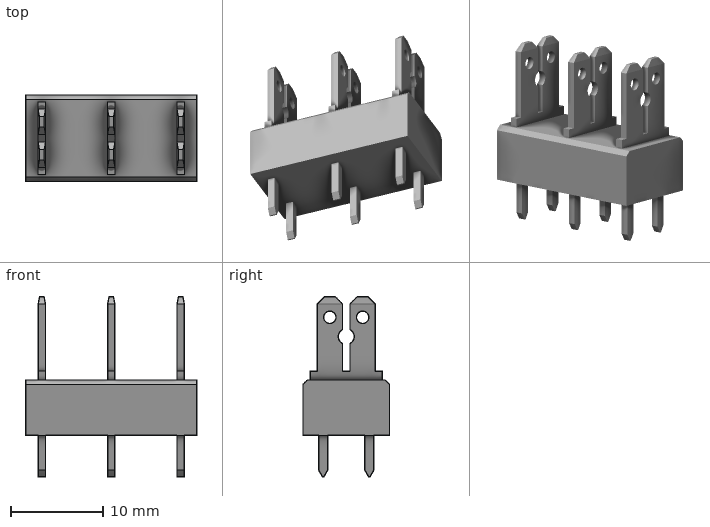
import cadquery as cq

TOTAL_HEIGHT = 19.5

HOUSING_LENGTH = 18.5
HOUSING_WIDTH = 9.4
HOUSING_HEIGHT = 6.0
HOUSING_CHAMFER = 0.5

POLE_COUNT = 3
TABS_PER_POLE = 2
PINS_PER_POLE = 2
POLE_PITCH = 7.5
METAL_THICKNESS = 0.8

TERMINAL_HEIGHT = 9.0
FOOT_WIDTH = 7.8
FOOT_HEIGHT = 0.95
TAB_WIDTH = 2.75
TAB_GAP = 0.8
TAB_PITCH = TAB_WIDTH + TAB_GAP
TAB_TIP_HEIGHT = 0.8
TAB_TIP_WIDTH = TAB_WIDTH - 2 * TAB_TIP_HEIGHT
TAB_TIP_THICKNESS = 0.5
TAB_HOLE_DIAMETER = 1.3
TAB_HOLE_DROP = 2.25
GAP_HOLE_DIAMETER = 1.7
GAP_HOLE_DROP = 4.33

PIN_LENGTH = TOTAL_HEIGHT - HOUSING_HEIGHT - TERMINAL_HEIGHT
PIN_WIDTH = 1.0
PIN_PITCH = 5.0
PIN_TIP_HEIGHT = 0.75
PIN_TIP_WIDTH = 0.15


def centred_positions(count, pitch):
    """Evenly spaced positions, symmetric about zero."""
    return [(index - (count - 1) / 2) * pitch for index in range(count)]


def block(thickness, width, bottom, top):
    """Box centred on X and Y between two heights."""
    return cq.Workplane("XY").workplane(offset=bottom).rect(thickness, width).extrude(top - bottom)


def cross_hole(diameter, y, z):
    """Cylinder along X that cuts right through the metal thickness."""
    return (
        cq.Workplane("YZ")
        .center(y, z)
        .circle(diameter / 2)
        .extrude(METAL_THICKNESS, both=True)
    )


def make_housing():
    """Plain block with its two long top edges chamfered."""
    housing = block(HOUSING_LENGTH, HOUSING_WIDTH, 0, HOUSING_HEIGHT)
    return housing.faces(">Z").edges("|X").chamfer(HOUSING_CHAMFER)


def make_tab():
    """Blade tab rising from the foot, tapered on all four sides at its tip."""
    shoulder = TERMINAL_HEIGHT - TAB_TIP_HEIGHT
    blade = block(METAL_THICKNESS, TAB_WIDTH, FOOT_HEIGHT, shoulder)
    tip = (
        cq.Workplane("XY")
        .workplane(offset=shoulder)
        .rect(METAL_THICKNESS, TAB_WIDTH)
        .workplane(offset=TAB_TIP_HEIGHT)
        .rect(TAB_TIP_THICKNESS, TAB_TIP_WIDTH)
        .loft(ruled=True)
    )
    hole = cross_hole(TAB_HOLE_DIAMETER, 0, TERMINAL_HEIGHT - TAB_HOLE_DROP)
    return blade.union(tip).cut(hole)


def make_terminal(x):
    """Foot with two tabs, standing on the housing top."""
    terminal = block(METAL_THICKNESS, FOOT_WIDTH, 0, FOOT_HEIGHT)
    for y in centred_positions(TABS_PER_POLE, TAB_PITCH):
        terminal = terminal.union(make_tab().translate((0, y, 0)))
    gap_hole = cross_hole(GAP_HOLE_DIAMETER, 0, TERMINAL_HEIGHT - GAP_HOLE_DROP)
    return terminal.cut(gap_hole).translate((x, 0, HOUSING_HEIGHT))


def make_pin(x, y):
    """Flat pin hanging from the housing underside, narrowed to a blunt point."""
    half_width = PIN_WIDTH / 2
    half_tip = PIN_TIP_WIDTH / 2
    tip_start = PIN_TIP_HEIGHT - PIN_LENGTH
    pin = (
        cq.Workplane("YZ")
        .moveTo(-half_width, 0)
        .lineTo(-half_width, tip_start)
        .lineTo(-half_tip, -PIN_LENGTH)
        .lineTo(half_tip, -PIN_LENGTH)
        .lineTo(half_width, tip_start)
        .lineTo(half_width, 0)
        .close()
        .extrude(METAL_THICKNESS / 2, both=True)
    )
    return pin.translate((x, y, 0))


housing = make_housing()
terminals = []
pins = []
for pole_x in centred_positions(POLE_COUNT, POLE_PITCH):
    terminals.append(make_terminal(pole_x).val())
    for pin_y in centred_positions(PINS_PER_POLE, PIN_PITCH):
        pins.append(make_pin(pole_x, pin_y).val())

result = cq.Compound.makeCompound([housing.val(), *terminals, *pins])